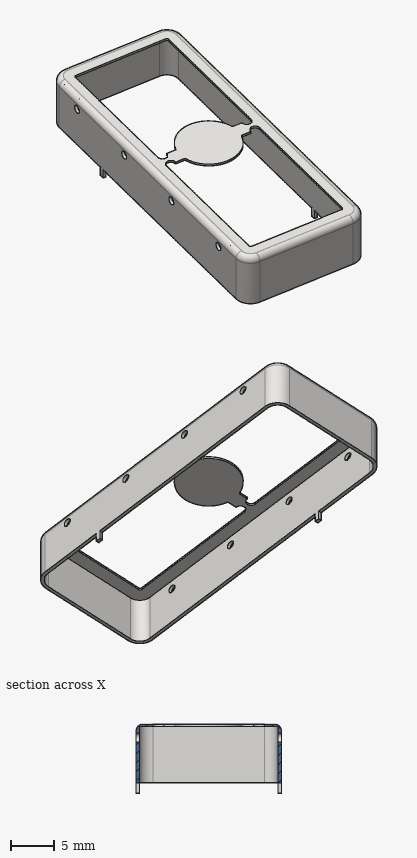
import cadquery as cq

length = 41.5
width = 16.8
body_height = 6.8
corner_radius = 2.0
top_fillet = 0.8
wall = 0.4

plate_thickness = 0.3
window_side_border = 2.0
window_end_border = 2.08
window_length = length - 2 * window_end_border
window_width = width - 2 * window_side_border
window_corner_radius = 0.2

disc_radius = 4.0
tab_width = 1.9
tab_root_fillet = 0.2
notch_radius = 0.62
neck_width = 0.6

hole_diameter = 1.0
hole_pitch = 10.0
hole_count = 4
hole_depth_from_top = 1.58

pin_length = 1.2
pin_width = 0.62
pin_thickness = wall
pin_spacing = 19.5

plate_bottom = body_height - plate_thickness


def make_shell():
    outer = cq.Workplane("XY").box(length, width, body_height, centered=(True, True, False))
    outer = outer.edges("|Z").fillet(corner_radius).faces(">Z").edges().fillet(top_fillet)
    cavity = (
        cq.Workplane("XY")
        .box(length - 2 * wall, width - 2 * wall, plate_bottom, centered=(True, True, False))
        .edges("|Z")
        .fillet(corner_radius - wall)
    )
    window = (
        cq.Workplane("XY")
        .box(window_length, window_width, body_height, centered=(True, True, False))
        .edges("|Z")
        .fillet(window_corner_radius)
    )
    return outer.cut(cavity).cut(window)


def make_disc_with_tabs():
    plate = cq.Workplane("XY", origin=(0, 0, plate_bottom))
    disc = plate.circle(disc_radius).extrude(plate_thickness)
    tabs = plate.rect(tab_width, window_width).extrude(plate_thickness)
    bridge = disc.union(tabs)
    root_edges = cq.selectors.BoxSelector(
        (-tab_width, -disc_radius, 0), (tab_width, disc_radius, body_height)
    )
    bridge = bridge.edges("|Z").edges(root_edges).fillet(tab_root_fillet)

    notch_x = neck_width / 2 + notch_radius
    notch_y = window_width / 2 - notch_radius
    notch_centers = [(sx * notch_x, sy * notch_y) for sx in (-1, 1) for sy in (-1, 1)]
    notches = plate.pushPoints(notch_centers).circle(notch_radius).extrude(plate_thickness)
    return bridge.cut(notches)


def make_holes():
    return (
        cq.Workplane("XZ", origin=(0, 0, body_height - hole_depth_from_top))
        .rarray(hole_pitch, 0.4, hole_count, 1)
        .circle(hole_diameter / 2)
        .extrude(width, both=True)
    )


def make_pins():
    pin_x = pin_spacing / 2
    pin_y = (width - pin_thickness) / 2
    return (
        cq.Workplane("XY", origin=(0, 0, -pin_length))
        .pushPoints([(-pin_x, -pin_y), (pin_x, pin_y)])
        .rect(pin_width, pin_thickness)
        .extrude(pin_length + wall)
    )


result = make_shell().union(make_disc_with_tabs()).union(make_pins()).cut(make_holes())